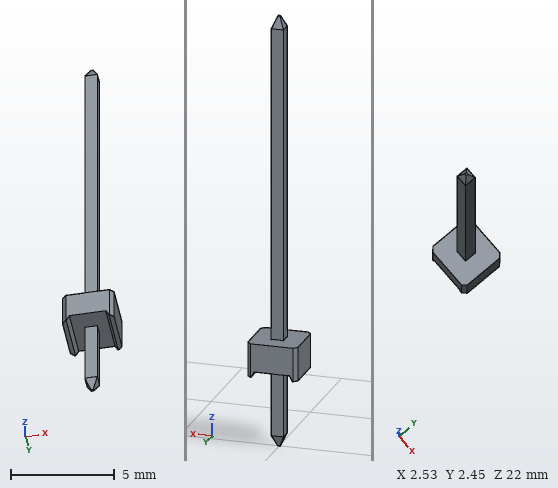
import cadquery as cq

pin_length = 22.0
pin_side = 0.62
tip_length = 0.6
tip_flat = 0.1

housing_x = 2.53
housing_y = 2.45
housing_bottom = 3.8
housing_top = 5.52
corner_chamfer = 0.2

channel_depth = 0.29
foot_bottom_width = 0.22
foot_top_width = 0.37


def make_tip(base_z, direction):
    """Tapered point growing from base_z up (direction 1) or down (direction -1)."""
    return (
        cq.Workplane("XY", origin=(0, 0, base_z))
        .rect(pin_side, pin_side)
        .workplane(offset=direction * tip_length)
        .rect(tip_flat, tip_flat)
        .loft(ruled=True)
    )


def make_pin():
    shank_length = pin_length - 2 * tip_length
    shank = (
        cq.Workplane("XY", origin=(0, 0, tip_length))
        .rect(pin_side, pin_side)
        .extrude(shank_length)
    )
    upper_tip = make_tip(pin_length - tip_length, 1)
    lower_tip = make_tip(tip_length, -1)
    return shank.union(upper_tip).union(lower_tip)


def make_channel():
    """Trapezoidal channel along Y that leaves a foot on each X side."""
    half_bottom = housing_x / 2 - foot_bottom_width
    half_top = housing_x / 2 - foot_top_width
    channel_top = housing_bottom + channel_depth
    return (
        cq.Workplane("XZ")
        .polyline([
            (-half_bottom, housing_bottom),
            (half_bottom, housing_bottom),
            (half_top, channel_top),
            (-half_top, channel_top),
        ])
        .close()
        .extrude(housing_y / 2, both=True)
    )


def make_housing():
    height = housing_top - housing_bottom
    block = (
        cq.Workplane("XY", origin=(0, 0, housing_bottom))
        .rect(housing_x, housing_y)
        .extrude(height)
        .edges("|Z")
        .chamfer(corner_chamfer)
    )
    pin_hole = (
        cq.Workplane("XY", origin=(0, 0, housing_bottom))
        .rect(pin_side, pin_side)
        .extrude(height)
    )
    return block.cut(make_channel()).cut(pin_hole)


pin = make_pin()
housing = make_housing()

result = cq.Compound.makeCompound([housing.val(), pin.val()])